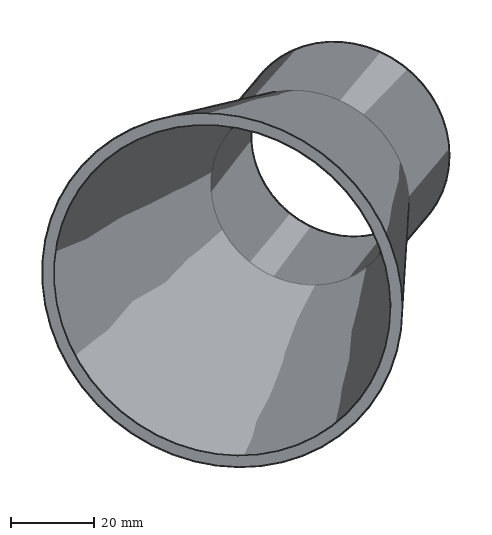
import cadquery as cq

total_length = 105.0
tube_length = 35.0
mouth_diameter = 90.0
tube_diameter = 52.5
bore_diameter = 46.5

cone_length = total_length - tube_length
mouth_radius = mouth_diameter / 2
tube_radius = tube_diameter / 2
bore_radius = bore_diameter / 2
wall = tube_radius - bore_radius

half_section = (
    cq.Workplane("XY")
    .moveTo(mouth_radius - wall, 0)
    .lineTo(mouth_radius, 0)
    .lineTo(tube_radius, cone_length)
    .lineTo(tube_radius, total_length)
    .lineTo(bore_radius, total_length)
    .lineTo(bore_radius, cone_length)
    .close()
)

result = half_section.revolve(360, (0, 0, 0), (0, 1, 0))